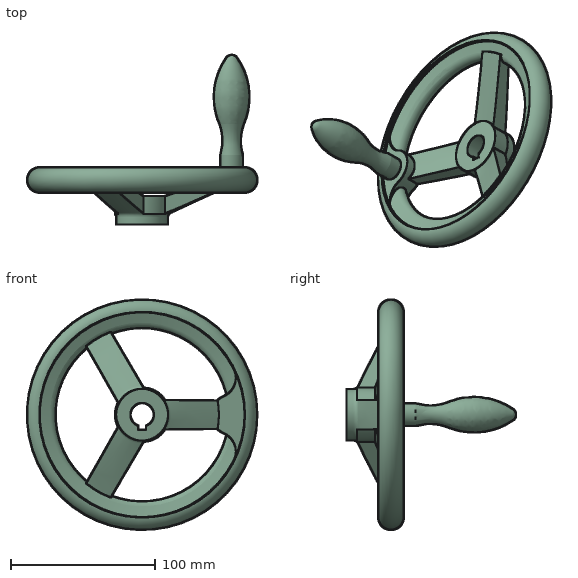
import cadquery as cq
import math


RIM_OUTER_RADIUS = 80.0
RIM_WIDTH = 17.9
RIM_HALF_WIDTH = RIM_WIDTH / 2
RIM_FACE_RADIUS = 142.0 / 2
RIM_EDGE_CHAMFER = 0.3
RIM_INNER_RADIUS = 60.0
INNER_ROUND_RADIUS = 5.3
CONE_ANGLE = math.radians(18)
CONE_END_RADIUS = RIM_INNER_RADIUS + INNER_ROUND_RADIUS * (1 - math.sin(CONE_ANGLE))
CONE_END_Y = INNER_ROUND_RADIUS * math.cos(CONE_ANGLE)
STEP_Y = CONE_END_Y + (RIM_FACE_RADIUS - CONE_END_RADIUS) * math.tan(CONE_ANGLE)

HUB_FRONT_RADIUS = 36.0 / 2
HUB_REAR_RADIUS = 18.9
HUB_PROJECTION = 22.0
HUB_REAR_GAP = 2.0
HUB_FRONT_Y = -RIM_HALF_WIDTH - HUB_PROJECTION
HUB_REAR_Y = -RIM_HALF_WIDTH - HUB_REAR_GAP
HUB_COLLAR_LENGTH = 5.3
HUB_FLARE_LENGTH = 3.0
HUB_FLARE_RADIUS = 20.0
BORE_RADIUS = 16.0 / 2
KEYWAY_WIDTH = 5.1
KEYWAY_BOTTOM = 10.4

SPOKE_ANGLES = (0, 120, 240)
SPOKE_ROOT_HALF_WIDTH = 10.4
SPOKE_TIP_HALF_WIDTH = 9.9
SPOKE_TIP_RADIUS = 64.0
SPOKE_FRONT_SLOPE = 0.46
SPOKE_REAR_SLOPE = 0.38

HANDLE_X = 62.0
PAD_BOSS_RADIUS = 14.0
PAD_FILLET_RADIUS = 13.8
PAD_FRONT_Y = -STEP_Y
HANDLE_BASE_RADIUS = 16.0 / 2
HANDLE_BASE_LENGTH = 8.2
HANDLE_NECK = (6.5, 16.0)
HANDLE_SHOULDER = (8.5, 29.6)
HANDLE_BELLY = (12.5, 49.6)
HANDLE_TIP = (4.0, 75.7)
HANDLE_LENGTH = 77.9


def revolve_about_y(profile):
    return profile.close().revolve(360, (0, 0, 0), (0, 1, 0))


def make_rim():
    """Half-round outside; on both faces a small step and a cone lead to a rounded inside."""
    edge_radius = RIM_FACE_RADIUS + RIM_EDGE_CHAMFER
    wall_end_y = RIM_HALF_WIDTH - RIM_EDGE_CHAMFER
    profile = (
        cq.Workplane("XY")
        .moveTo(edge_radius, -RIM_HALF_WIDTH)
        .threePointArc((RIM_OUTER_RADIUS, 0), (edge_radius, RIM_HALF_WIDTH))
        .lineTo(RIM_FACE_RADIUS, wall_end_y)
        .lineTo(RIM_FACE_RADIUS, STEP_Y)
        .lineTo(CONE_END_RADIUS, CONE_END_Y)
        .threePointArc((RIM_INNER_RADIUS, 0), (CONE_END_RADIUS, -CONE_END_Y))
        .lineTo(RIM_FACE_RADIUS, -STEP_Y)
        .lineTo(RIM_FACE_RADIUS, -wall_end_y)
    )
    return revolve_about_y(profile)


def make_hub_envelope():
    """Solid of revolution that bounds the hub, its flare and the conical spoke faces."""
    collar_y = HUB_FRONT_Y + HUB_COLLAR_LENGTH
    flare_y = collar_y + HUB_FLARE_LENGTH
    pad_start = HUB_FLARE_RADIUS + (PAD_FRONT_Y - flare_y) / SPOKE_FRONT_SLOPE
    tip_front_y = PAD_FRONT_Y + (SPOKE_TIP_RADIUS - pad_start) * SPOKE_FRONT_SLOPE
    tip_rear_y = HUB_REAR_Y + (SPOKE_TIP_RADIUS - HUB_REAR_RADIUS) * SPOKE_REAR_SLOPE
    flare_end = (HUB_FLARE_RADIUS, flare_y)
    profile = (
        cq.Workplane("XY")
        .moveTo(0, HUB_FRONT_Y)
        .lineTo(HUB_FRONT_RADIUS, HUB_FRONT_Y)
        .lineTo(HUB_FRONT_RADIUS, collar_y)
        .tangentArcPoint(flare_end, relative=False)
        .lineTo(SPOKE_TIP_RADIUS, tip_front_y)
        .lineTo(SPOKE_TIP_RADIUS, tip_rear_y)
        .lineTo(HUB_REAR_RADIUS, HUB_REAR_Y)
        .lineTo(0, HUB_REAR_Y)
    )
    return revolve_about_y(profile)


def extrude_along_y(sketch, y_start, y_end):
    """Extrude a sketch drawn on XZ, whose normal is -Y, between two Y positions."""
    return sketch.extrude(y_start - y_end).translate((0, y_start, 0))


def make_hub_and_spokes():
    envelope = make_hub_envelope()
    core = extrude_along_y(cq.Workplane("XZ").circle(HUB_REAR_RADIUS), HUB_FRONT_Y, HUB_REAR_Y)
    spoke_outline = (
        cq.Workplane("XZ")
        .moveTo(0, -SPOKE_ROOT_HALF_WIDTH)
        .lineTo(SPOKE_TIP_RADIUS, -SPOKE_TIP_HALF_WIDTH)
        .lineTo(SPOKE_TIP_RADIUS, SPOKE_TIP_HALF_WIDTH)
        .lineTo(0, SPOKE_ROOT_HALF_WIDTH)
        .close()
    )
    spoke = extrude_along_y(spoke_outline, HUB_FRONT_Y, RIM_HALF_WIDTH)
    for angle in SPOKE_ANGLES:
        core = core.union(spoke.rotate((0, 0, 0), (0, 1, 0), -angle))
    return core.intersect(envelope)


def make_pad():
    """Boss around the handle axis, blended into the step circle of the rim by two fillets."""
    centre_radius = RIM_FACE_RADIUS - PAD_FILLET_RADIUS
    centre_gap = PAD_BOSS_RADIUS + PAD_FILLET_RADIUS
    fillet_x = (centre_radius**2 + HANDLE_X**2 - centre_gap**2) / (2 * HANDLE_X)
    fillet_z = math.sqrt(centre_radius**2 - fillet_x**2)
    rim_point = (fillet_x * RIM_FACE_RADIUS / centre_radius, fillet_z * RIM_FACE_RADIUS / centre_radius)
    boss_share = PAD_BOSS_RADIUS / centre_gap
    boss_point = (HANDLE_X + (fillet_x - HANDLE_X) * boss_share, fillet_z * boss_share)
    rim_angle = math.atan2(rim_point[1], rim_point[0])
    boss_angle = math.atan2(boss_point[1] - fillet_z, boss_point[0] - fillet_x)
    middle_angle = (rim_angle + boss_angle) / 2
    fillet_point = (fillet_x + PAD_FILLET_RADIUS * math.cos(middle_angle),
                    fillet_z + PAD_FILLET_RADIUS * math.sin(middle_angle))

    def mirrored(point):
        return (point[0], -point[1])

    sketch = (
        cq.Workplane("XZ")
        .moveTo(*rim_point)
        .threePointArc(fillet_point, boss_point)
        .threePointArc((HANDLE_X - PAD_BOSS_RADIUS, 0), mirrored(boss_point))
        .threePointArc(mirrored(fillet_point), mirrored(rim_point))
        .threePointArc((RIM_FACE_RADIUS, 0), rim_point)
        .close()
    )
    return extrude_along_y(sketch, PAD_FRONT_Y, -PAD_FRONT_Y)


def make_handle():
    """Grip with a plain base, a hollowed neck, a barrel and a domed end."""
    tip_radius, tip_start = HANDLE_TIP
    dome_height = HANDLE_LENGTH - tip_start
    dome_radius = (tip_radius**2 + dome_height**2) / (2 * dome_height)
    half_angle = math.asin(tip_radius / dome_radius) / 2
    dome_point = (dome_radius * math.sin(half_angle),
                  HANDLE_LENGTH - dome_radius * (1 - math.cos(half_angle)))
    profile = (
        cq.Workplane("XY")
        .moveTo(0, -RIM_HALF_WIDTH)
        .lineTo(HANDLE_BASE_RADIUS, -RIM_HALF_WIDTH)
        .lineTo(HANDLE_BASE_RADIUS, HANDLE_BASE_LENGTH)
        .threePointArc(HANDLE_NECK, HANDLE_SHOULDER)
        .threePointArc(HANDLE_BELLY, HANDLE_TIP)
        .threePointArc(dome_point, (0, HANDLE_LENGTH))
    )
    return revolve_about_y(profile).translate((HANDLE_X, RIM_HALF_WIDTH, 0))


def make_bore():
    bore = extrude_along_y(cq.Workplane("XZ").circle(BORE_RADIUS), HUB_FRONT_Y, HUB_REAR_Y)
    keyway_outline = (
        cq.Workplane("XZ")
        .center(0, -KEYWAY_BOTTOM / 2)
        .rect(KEYWAY_WIDTH, KEYWAY_BOTTOM)
    )
    keyway = extrude_along_y(keyway_outline, HUB_FRONT_Y, HUB_REAR_Y)
    return bore.union(keyway)


wheel = make_rim().union(make_hub_and_spokes()).union(make_pad())
result = wheel.union(make_handle()).cut(make_bore())